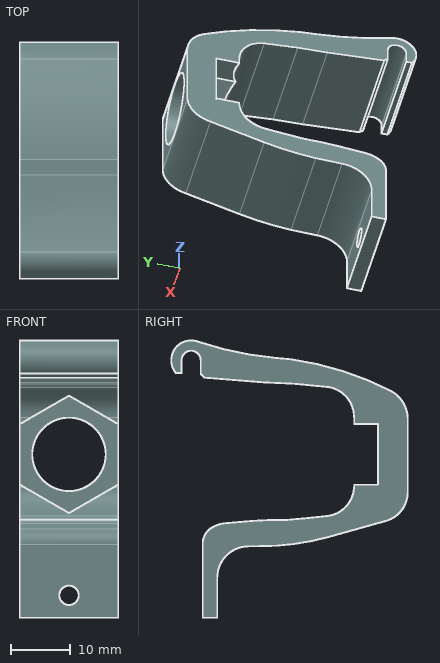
import cadquery as cq

width = 16.5
height = 46.35
total_depth = 39.55

wall_thickness = 5.0
seat_face_depth = 9.0
bore_diameter = 12.25
bore_height = 27.3
hex_across_corners = 19.6
hex_cut_end = 18.55

tab_thickness = 2.5
tab_face_depth = 34.3
tab_back_depth = tab_face_depth - tab_thickness
tab_hole_diameter = 3.2
tab_hole_height = 3.75

hook_radius = 3.35
slot_radius = 1.58
hook_depth = total_depth - hook_radius
hook_height = height - hook_radius
slot_inner_depth = hook_depth - slot_radius
slot_outer_depth = hook_depth + slot_radius
hook_start_depth = 35.0
hook_start_height = hook_height + (hook_radius**2 - (hook_depth - hook_start_depth) ** 2) ** 0.5
tip_height = 40.9
tip_depth = hook_depth + (hook_radius**2 - (hook_height - tip_height) ** 2) ** 0.5
slot_chamfer = 0.65
slot_mouth_height = 40.75


def make_body():
    """Extrude the closed side outline symmetrically about X = 0."""
    outline = (
        cq.Workplane("YZ")
        .moveTo(0, 20.85)
        .lineTo(0, 33.35)
        .threePointArc((-0.85, 36.05), (-2.75, 37.85))
        .threePointArc((-10.8, 41.2), (-19.5, 43.2))
        .lineTo(-22.1, 43.45)
        .threePointArc((-28.65, 44.4), (-hook_start_depth, hook_start_height))
        .threePointArc((-total_depth, hook_height), (-tip_depth, tip_height))
        .lineTo(-slot_outer_depth, tip_height)
        .lineTo(-slot_outer_depth, hook_height)
        .threePointArc((-hook_depth, hook_height + slot_radius), (-slot_inner_depth, hook_height))
        .lineTo(-slot_inner_depth, slot_mouth_height)
        .lineTo(slot_chamfer - slot_inner_depth, slot_mouth_height - slot_chamfer)
        .lineTo(-24.1, 39.3)
        .lineTo(-19.0, 39.05)
        .lineTo(-13.2, 38.5)
        .threePointArc((-10.15, 36.75), (-seat_face_depth, 33.5))
        .lineTo(-seat_face_depth, 21.8)
        .threePointArc((-10.3, 18.65), (-13.55, 17.0))
        .lineTo(-17.15, 16.65)
        .lineTo(-20.25, 16.35)
        .lineTo(-22.95, 16.35)
        .lineTo(-25.72, 16.2)
        .lineTo(-30.6, 15.8)
        .threePointArc((-31.95, 15.5), (-33.1, 14.85))
        .threePointArc((-33.97, 13.7), (-tab_face_depth, 12.3))
        .lineTo(-tab_face_depth, 0)
        .lineTo(-tab_back_depth, 0)
        .lineTo(-tab_back_depth, 6.9)
        .threePointArc((-30.25, 10.45), (-26.65, 11.9))
        .lineTo(-22.1, 12.0)
        .threePointArc((-17.6, 12.5), (-13.2, 13.5))
        .lineTo(-3.95, 16.1)
        .threePointArc((-1.1, 17.85), (0, 20.85))
        .close()
    )
    return outline.extrude(width / 2, both=True)


def facing_front(depth, center_height):
    """Workplane at the given depth with its normal toward -Y."""
    return cq.Workplane("XZ", origin=(0, -depth, center_height))


def make_bore():
    return facing_front(0, bore_height).circle(bore_diameter / 2).extrude(wall_thickness)


def make_nut_seat():
    """Hexagon with corners up and down; it runs out through both side faces."""
    return (
        facing_front(wall_thickness, bore_height)
        .transformed(rotate=(0, 0, 90))
        .polygon(6, hex_across_corners)
        .extrude(hex_cut_end - wall_thickness)
    )


def make_tab_hole():
    return (
        facing_front(tab_back_depth, tab_hole_height)
        .circle(tab_hole_diameter / 2)
        .extrude(tab_thickness)
    )


result = make_body().cut(make_bore()).cut(make_nut_seat()).cut(make_tab_hole())